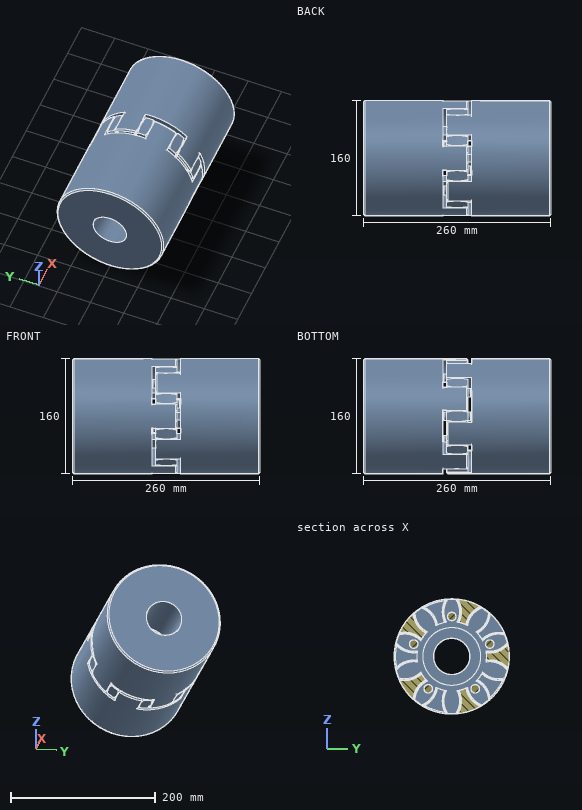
import cadquery as cq
import math


total_length = 260.0
outer_diameter = 160.0
bore_diameter = 50.0
hub_gap = 40.0
edge_chamfer = 2.0

jaw_count = 5
pocket_radius = 33.3
pocket_center_radius = 65.0
jaw_inner_radius = 48.0

spider_width = 29.6
spider_outer_radius = 79.3
spider_bore_radius = 40.0
pad_clearance = 0.8
pad_crown = 1.5
nub_radius = 6.0
nub_height = 3.6
nub_center_radius = 55.5

outer_radius = outer_diameter / 2
hub_face = hub_gap / 2
jaw_tip = spider_width / 2
jaw_pitch = 360 / jaw_count
pad_pitch = jaw_pitch / 2
pad_count = 2 * jaw_count
first_jaw_angle = 180.0
square_jaw_angle = first_jaw_angle - 2 * jaw_pitch


def rod(radius, x_start, x_end, center_radius=0.0, angle=0.0):
    """Cylinder parallel to X, its axis offset from the coupling axis in the given direction."""
    y = center_radius * math.cos(math.radians(angle))
    z = center_radius * math.sin(math.radians(angle))
    return cq.Workplane("YZ", origin=(x_start, 0, 0)).center(y, z).circle(radius).extrude(x_end - x_start)


def make_square_tip():
    """Slice of the jaw ring, as wide as one jaw needs, that keeps its sharp outer edge."""
    side = 2 * outer_radius
    slice_start = outer_radius * math.cos(math.radians(pad_pitch))
    block = cq.Workplane("XY").box(side, side, side).translate((0, slice_start + side / 2, 0))
    block = block.rotate((0, 0, 0), (1, 0, 0), square_jaw_angle)
    return rod(outer_radius, -hub_face, jaw_tip).intersect(block)


def make_left_hub():
    """Bored cylinder from the outer end to the jaw tips, with one square-edged jaw and four bevelled."""
    outer_end = -total_length / 2
    hub = rod(outer_radius, outer_end, jaw_tip).edges().chamfer(edge_chamfer)
    hub = hub.union(make_square_tip())
    hub = hub.cut(rod(bore_diameter / 2, outer_end, jaw_tip))
    hub = hub.cut(rod(jaw_inner_radius, -hub_face, jaw_tip))
    for i in range(jaw_count):
        pocket_angle = first_jaw_angle + (i + 0.5) * jaw_pitch
        hub = hub.cut(rod(pocket_radius, -hub_face, jaw_tip, pocket_center_radius, pocket_angle))
    return hub


def make_right_hub(left_hub):
    """The same hub turned end for end, then one jaw further round to place its square-edged jaw."""
    return left_hub.rotate((0, 0, 0), (0, 0, 1), 180).rotate((0, 0, 0), (1, 0, 0), jaw_pitch)


def make_barrel():
    """Crowned plug fitting a pocket, its axis on the coupling axis."""
    middle_radius = pocket_radius - pad_clearance
    end_radius = middle_radius - pad_crown
    return (
        cq.Workplane("XY")
        .moveTo(-jaw_tip, 0)
        .lineTo(-jaw_tip, end_radius)
        .threePointArc((0, middle_radius), (jaw_tip, end_radius))
        .lineTo(jaw_tip, 0)
        .close()
        .revolve(360, (0, 0, 0), (1, 0, 0))
    )


def make_pad():
    """Lens between two neighbouring barrels, centred on +Y and trimmed to the spider ring."""
    barrel = make_barrel().translate((0, pocket_center_radius, 0))
    above = barrel.rotate((0, 0, 0), (1, 0, 0), pad_pitch / 2)
    below = barrel.rotate((0, 0, 0), (1, 0, 0), -pad_pitch / 2)
    return above.intersect(below).intersect(rod(spider_outer_radius, -jaw_tip, jaw_tip))


def make_spider():
    """Ring with one pad per jaw flank and spacer nubs on alternate ends of the pads."""
    spider = rod(jaw_inner_radius, -jaw_tip, jaw_tip)
    pad = make_pad()
    for i in range(pad_count):
        angle = first_jaw_angle + (i + 0.5) * pad_pitch
        side = 1 if i % 2 else -1
        spider = spider.union(pad.rotate((0, 0, 0), (1, 0, 0), angle))
        nub_tip = side * (jaw_tip + nub_height)
        spider = spider.union(rod(nub_radius, 0, nub_tip, nub_center_radius, angle))
    return spider.cut(rod(spider_bore_radius, -hub_face, hub_face))


left_hub = make_left_hub()
right_hub = make_right_hub(left_hub)
spider = make_spider()

bodies = [left_hub, right_hub, spider]
result = cq.Compound.makeCompound([body.solids().val() for body in bodies])